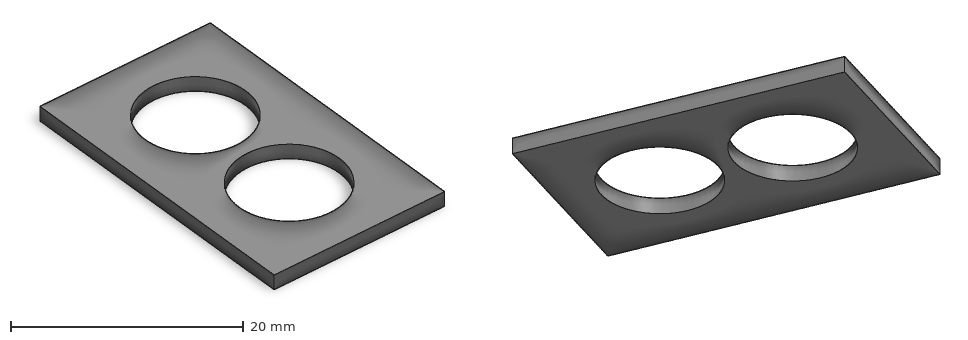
import cadquery as cq

plate_length = 31.75
plate_width = 19.05
plate_thickness = 1.57

hole_diameter = 11.18
hole_spacing = 12.7


def make_plate():
    """Flat rectangular plate centred on the origin in X and Y, standing on Z = 0."""
    return cq.Workplane("XY").box(
        plate_length, plate_width, plate_thickness, centered=(True, True, False)
    )


def cut_holes(plate):
    """Cut the pair of through holes, symmetric about the plate centre."""
    hole_centres = [(-hole_spacing / 2, 0), (hole_spacing / 2, 0)]
    return plate.faces(">Z").workplane().pushPoints(hole_centres).hole(hole_diameter)


result = cut_holes(make_plate())